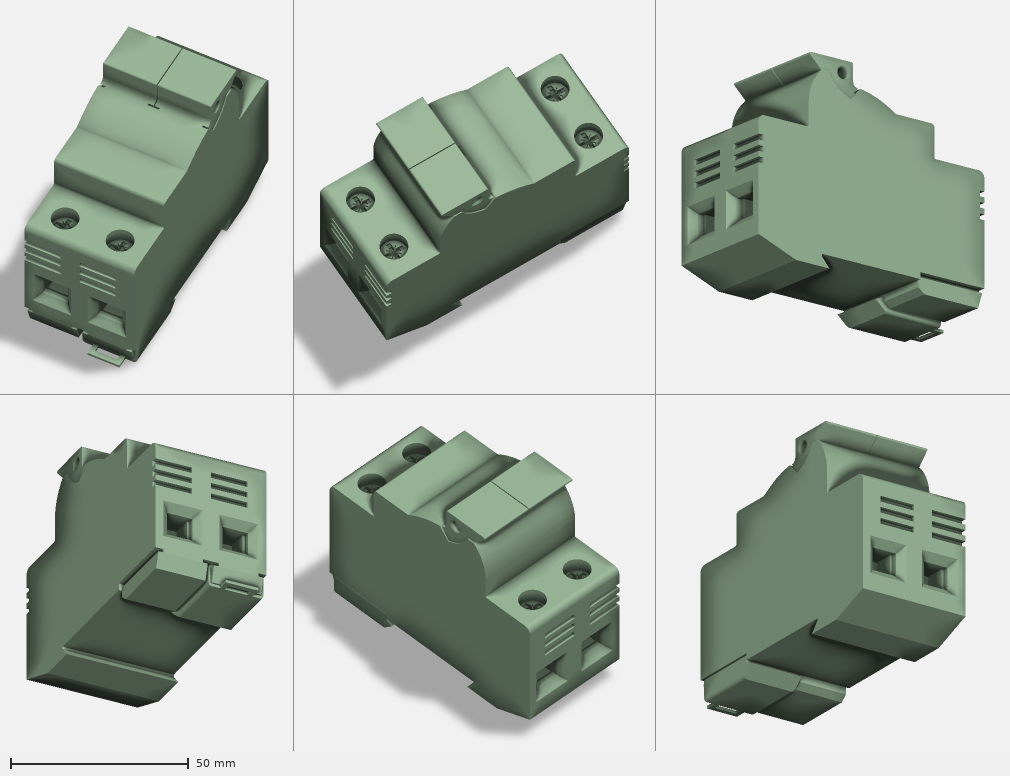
import math

import cadquery as cq


width = 35.0
pole_width = width / 2
pole_centres = (-pole_width / 2, pole_width / 2)
housing_depth = 80.8
rear_y = housing_depth / 2
front_y = -rear_y
shoulder_z = 41.8
shoulder_fillet = 2.1
neck_y = 22.55
neck_root_fillet = 0.4
step_z = 52.1
step_rear_y = -8.7
step_fillet = 1.1
crown_z = 59.8
crown_rear_y = 17.7
crown_bend_z = 48.9

foot_z = 1.2
rail_z = 5.0
rear_slope_z = 6.05
rear_slope_y = 27.0
rail_hook_y = 15.1
rail_hook_root = (17.7, 4.2)
block_rear_y = -17.6
block_rear_z = 2.8
block_bevel_y = -19.7
block_front_y = -38.95
block_top_z = 6.0
block_width = 15.5
groove_top_z = 7.05
groove_land_width = 12.35

handle_top_z = 64.3
handle_rear_y = 22.6
handle_front_y = 6.3
handle_edge_fillet = 0.5
handle_root_fillet = 1.6
handle_inset = 0.3
handle_gap = 0.3
seat_rear_y = 15.3
seat_mid = (11.8, 55.45)
seat_bottom = (7.4, 53.2)
seat_front = (4.0, 56.95)
brow_radius = 30.7
slit_width = 0.5
slit_depth = 2.5
slit_length = 1.65
lock_hole_y = 9.95
lock_hole_z = 60.5
lock_hole_radius = 1.65
lock_hole_chamfer = 0.4

vent_length = 11.5
vent_height = 1.7
vent_depth = 1.65
vent_pitch = 3.4
vent_count = 3
vent_top_z = 35.9
mouth_width = 12.2
mouth_bottom_z = 11.35
mouth_top_z = 22.9
throat_width = 7.95
throat_bottom_z = 13.6
throat_top_z = 20.55
funnel_depth = 2.15
throat_depth = 1.7
cage_width = 6.3
cage_bottom_z = 14.3
cage_depth = 6.6

screw_y = 32.4
screw_radius = 4.1
screw_rim_depth = 4.3
dome_height = 1.0
slot_width = 1.4
slot_depth = 1.0
cross_length = 6.5
cross_depth = 1.5
star_length = 4.5
star_width = 0.3
star_depth = 1.3
socket_length = 4.65
socket_depth = 2.15
pit_radius = 1.2
pit_depth = 1.0

clip_width = 17.2
clip_front_y = -38.8
clip_nose = (-15.3, 3.4)
clip_nose_top_z = 4.3
clip_bevel_y = -19.3
clip_edge_fillet = 1.0
clip_clearance = 0.25
tab_width = 10.2
tab_overhang = 2.1
tab_end_y = front_y - tab_overhang
tab_thickness = 0.8
window_width = 7.05
window_end_y = -40.8


def box(x_range, y_range, z_range):
    """Box between the given limits along each axis."""
    sizes = [high - low for low, high in (x_range, y_range, z_range)]
    corner = (x_range[0], y_range[0], z_range[0])
    return cq.Workplane("XY").box(*sizes, centered=False).translate(corner)


def span(centre, length):
    """Limits of a length centred on a position."""
    return (centre - length / 2, centre + length / 2)


def across(sketch, x_range):
    """Extrude a closed YZ outline between two X limits."""
    return sketch.extrude(x_range[1] - x_range[0]).translate((x_range[0], 0, 0))


def seat_path(sketch):
    """Continue an outline from the crown edge along the handle seat to its front tip."""
    return sketch.threePointArc(seat_mid, seat_bottom).lineTo(*seat_front)


def brow_point(y):
    """Point on the brow, the cylinder from the step up past the front tip of the seat."""
    run = seat_front[0] - step_rear_y
    rise = seat_front[1] - step_z
    half_chord = math.hypot(run, rise) / 2
    drop = math.sqrt(brow_radius**2 - half_chord**2)
    centre_y = (seat_front[0] + step_rear_y) / 2 + drop * rise / (2 * half_chord)
    centre_z = (seat_front[1] + step_z) / 2 - drop * run / (2 * half_chord)
    return (y, centre_z + math.sqrt(brow_radius**2 - (y - centre_y) ** 2))


def make_housing():
    """Side outline across the full width, with its long edges rounded."""
    brow_mid_y = (seat_front[0] + step_rear_y) / 2
    bend_depth = neck_y - crown_rear_y
    bend_height = crown_z - crown_bend_z
    bend_radius = (bend_depth**2 + bend_height**2) / (2 * bend_depth)
    half_angle = math.asin(bend_height / bend_radius) / 2
    bend_mid = (
        neck_y - bend_radius * (1 - math.cos(half_angle)),
        crown_bend_z + bend_radius * math.sin(half_angle),
    )

    outline = (
        cq.Workplane("YZ")
        .moveTo(rear_slope_y, foot_z)
        .lineTo(rear_y, rear_slope_z)
        .lineTo(rear_y, shoulder_z)
        .lineTo(neck_y, shoulder_z)
        .lineTo(neck_y, crown_bend_z)
        .threePointArc(bend_mid, (crown_rear_y, crown_z))
        .lineTo(seat_rear_y, crown_z)
    )
    outline = (
        seat_path(outline)
        .threePointArc(brow_point(brow_mid_y), (step_rear_y, step_z))
        .lineTo(-neck_y, step_z)
        .lineTo(-neck_y, shoulder_z)
        .lineTo(front_y, shoulder_z)
        .lineTo(front_y, groove_top_z)
        .lineTo(block_rear_y, groove_top_z)
        .lineTo(block_rear_y, rail_z)
        .lineTo(rail_hook_root[0], rail_z)
        .lineTo(*rail_hook_root)
        .lineTo(rail_hook_y, foot_z)
        .close()
    )
    housing = across(outline, span(0, width))

    def round_edges(body, y, z, radius):
        """Round the straight edge that runs along X at (y, z)."""
        reach = 0.1
        selector = cq.selectors.BoxSelector(
            (-width, y - reach, z - reach), (width, y + reach, z + reach)
        )
        return body.edges(selector).fillet(radius)

    for side in (-1, 1):
        housing = round_edges(housing, side * rear_y, shoulder_z, shoulder_fillet)
        housing = round_edges(housing, side * neck_y, shoulder_z, neck_root_fillet)
    return round_edges(housing, -neck_y, step_z, step_fillet)


def make_clip_block(x):
    """Front foot of a pole: a narrow land under the housing and a wider block below it."""
    land = box(span(x, groove_land_width), (front_y, block_rear_y), (block_top_z, groove_top_z))
    block = (
        cq.Workplane("YZ")
        .moveTo(block_rear_y, block_top_z)
        .lineTo(block_rear_y, block_rear_z)
        .lineTo(block_bevel_y, foot_z)
        .lineTo(block_front_y, foot_z)
        .lineTo(front_y, block_top_z)
        .close()
    )
    return land.union(across(block, span(x, block_width)))


def make_handle(x_range):
    """Swing handle filling the seat of one pole, with release slits at its front tip."""
    outline = (
        cq.Workplane("YZ")
        .moveTo(handle_rear_y, handle_top_z)
        .lineTo(crown_rear_y, crown_z)
        .lineTo(seat_rear_y, crown_z)
    )
    root_end = brow_point(handle_front_y)
    root_mid = brow_point((seat_front[0] + handle_front_y) / 2)
    outline = (
        seat_path(outline)
        .threePointArc(root_mid, root_end)
        .lineTo(handle_front_y, handle_top_z)
        .close()
    )
    handle = across(outline, x_range).edges("|X and >Z").fillet(handle_edge_fillet)
    root_point = (sum(x_range) / 2, *root_end)
    handle = handle.edges(cq.NearestToPointSelector(root_point)).fillet(handle_root_fillet)

    slope = math.degrees(math.atan2(seat_front[1] - seat_bottom[1], seat_bottom[0] - seat_front[0]))
    for slit_range in (
        (x_range[0], x_range[0] + slit_length),
        (x_range[1] - slit_length, x_range[1]),
    ):
        slit = box(slit_range, (-slit_depth, slit_depth), (0, slit_width))
        slit = slit.rotate((0, 0, 0), (1, 0, 0), -slope)
        handle = handle.cut(slit.translate((0, *seat_front)))
    return handle


def cut_lock_hole(body, outer_x):
    """Hole through both handles, chamfered at the outer faces."""
    hole = cq.Workplane("YZ").center(lock_hole_y, lock_hole_z).circle(lock_hole_radius)
    body = body.cut(hole.extrude(outer_x, both=True))
    for side in (-1, 1):
        mouth = cq.Solid.makeCone(
            lock_hole_radius + lock_hole_chamfer,
            lock_hole_radius,
            lock_hole_chamfer,
            pnt=cq.Vector(side * outer_x, lock_hole_y, lock_hole_z),
            dir=cq.Vector(-side, 0, 0),
        )
        body = body.cut(cq.Workplane(mouth))
    return body


def make_vents(x_start):
    """Three slots at the front and rear ends of one pole, from its left edge."""
    vents = cq.Workplane()
    for row in range(vent_count):
        top = vent_top_z - row * vent_pitch
        for y_range in ((front_y, front_y + vent_depth), (rear_y - vent_depth, rear_y)):
            vents = vents.add(
                box((x_start, x_start + vent_length), y_range, (top - vent_height, top))
            )
    return vents.combine()


def make_wire_entry(x):
    """Tapered mouth, straight throat and cage opening for a wire in the front face."""
    throat_z = (throat_bottom_z + throat_top_z) / 2
    throat_height = throat_top_z - throat_bottom_z
    mouth_z = (mouth_bottom_z + mouth_top_z) / 2
    funnel = (
        cq.Workplane("XZ", origin=(x, front_y, mouth_z))
        .rect(mouth_width, mouth_top_z - mouth_bottom_z)
        .workplane(offset=-funnel_depth)
        .center(0, throat_z - mouth_z)
        .rect(throat_width, throat_height)
        .loft()
    )
    throat_y = front_y + funnel_depth
    cage_y = throat_y + throat_depth
    throat = box(span(x, throat_width), (throat_y, cage_y), (throat_bottom_z, throat_top_z))
    cage = box(span(x, cage_width), (cage_y, cage_y + cage_depth), (cage_bottom_z, throat_top_z))
    return funnel.union(throat).union(cage)


def make_screw_well(x, y):
    """Material removed over a domed screw: the round well and the driver recess."""
    rim_z = shoulder_z - screw_rim_depth
    dome_top = rim_z + dome_height
    dome_radius = (screw_radius**2 + dome_height**2) / (2 * dome_height)
    mid_x = screw_radius / 2
    mid_z = dome_top - dome_radius + math.sqrt(dome_radius**2 - mid_x**2)
    well = (
        cq.Workplane("XZ", origin=(x, y, 0))
        .moveTo(0, dome_top)
        .threePointArc((mid_x, mid_z), (screw_radius, rim_z))
        .lineTo(screw_radius, shoulder_z)
        .lineTo(0, shoulder_z)
        .close()
        .revolve(360, (0, 0), (0, 1))
    )

    def bar(length, thickness, depth, angle):
        """Bar through the screw axis, sunk below the dome top."""
        tool = box(span(0, length), span(0, thickness), (dome_top - depth, dome_top))
        return tool.rotate((0, 0, 0), (0, 0, 1), angle).translate((x, y, 0))

    slot = bar(2 * screw_radius, slot_width, slot_depth, 90)
    rim = cq.Workplane("XY", origin=(x, y, 0)).circle(screw_radius).extrude(shoulder_z)
    well = well.union(slot.intersect(rim))
    for angle in (0, 90):
        well = well.union(bar(cross_length, slot_width, cross_depth, angle))
        well = well.union(bar(socket_length, slot_width, socket_depth, angle))
    for angle in (45, 135):
        well = well.union(bar(star_length, star_width, star_depth, angle))
    socket_floor = cq.Vector(x, y, dome_top - socket_depth)
    pit = cq.Solid.makeCone(pit_radius, 0, pit_depth, pnt=socket_floor, dir=cq.Vector(0, 0, -1))
    return well.union(cq.Workplane(pit))


def make_rail_clip(x):
    """Sliding clip wrapped round the front foot of a pole, with a windowed pull tab."""
    outline = (
        cq.Workplane("YZ")
        .moveTo(clip_front_y, 0)
        .lineTo(clip_bevel_y, 0)
        .lineTo(*clip_nose)
        .lineTo(block_rear_y, clip_nose_top_z)
        .lineTo(block_rear_y, groove_top_z)
        .lineTo(clip_front_y, groove_top_z)
        .close()
    )
    clip = across(outline, span(x, clip_width)).edges("|Y").fillet(clip_edge_fillet)
    clearance = box(
        span(x, block_width + 2 * clip_clearance),
        (clip_front_y, block_bevel_y),
        (foot_z - clip_clearance, block_top_z),
    )
    tab = box(span(x, tab_width), (tab_end_y, clip_front_y), (0, tab_thickness))
    window = box(span(x, window_width), (window_end_y, clip_front_y), (0, tab_thickness))
    return clip.cut(clearance).union(tab.cut(window))


result = make_housing()

for pole_x in pole_centres:
    result = result.union(make_clip_block(pole_x))
    result = result.cut(make_vents(pole_x - pole_width / 2))
    wire_entry = make_wire_entry(pole_x)
    result = result.cut(wire_entry)
    result = result.cut(wire_entry.mirror("XZ"))
    for well_y in (-screw_y, screw_y):
        result = result.cut(make_screw_well(pole_x, well_y))

handle_outer_x = width / 2 - handle_inset
result = result.union(make_handle((-handle_outer_x, -handle_gap / 2)))
result = result.union(make_handle((handle_gap / 2, handle_outer_x)))
result = cut_lock_hole(result, handle_outer_x)

result = result.union(make_rail_clip(pole_centres[1]))